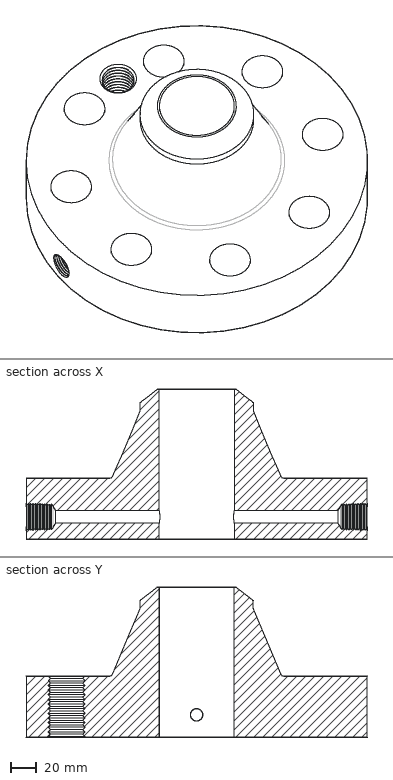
import cadquery as cq
import math

inch = 25.4

flange_diameter = 266.7
flange_thickness = 47.75

total_height = 117.35
hub_base_diameter = 133.35
neck_diameter = 88.9
neck_height = 6.4
bore_diameter = 58.4
weld_land = 1.6
bevel_angle = 37.5
hub_fillet_radius = 3.0

bolt_circle_diameter = 203.2
bolt_count = 8
bolt_hole_diameter = 31.75

jack_major_diameter = 28.58
jack_minor_diameter = 24.9
jack_pitch = inch / 7

tap_height = 17.5
tap_drill_diameter = 9.5
tap_major_diameter = 21.0
tap_minor_diameter = 18.3
tap_pitch = inch / 14
tap_turns = 11
tap_taper = 1 / 32
drill_point_half_angle = 59

flange_radius = flange_diameter / 2
bore_radius = bore_diameter / 2
neck_radius = neck_diameter / 2
land_radius = bore_radius + weld_land
bevel_start = total_height - (neck_radius - land_radius) * math.tan(math.radians(bevel_angle))
neck_start = bevel_start - neck_height


def make_body():
    """Revolve the flange plate, tapered hub and bevelled weld end around Z, then fillet the hub base."""
    body = (
        cq.Workplane("XZ")
        .moveTo(bore_radius, 0)
        .lineTo(flange_radius, 0)
        .lineTo(flange_radius, flange_thickness)
        .lineTo(hub_base_diameter / 2, flange_thickness)
        .lineTo(neck_radius, neck_start)
        .lineTo(neck_radius, bevel_start)
        .lineTo(land_radius, total_height)
        .lineTo(bore_radius, total_height)
        .close()
        .revolve(360, (0, 0, 0), (0, 1, 0))
    )
    hub_base_circle = cq.selectors.RadiusNthSelector(-2)
    return body.edges(hub_base_circle).fillet(hub_fillet_radius)


def cut_bolt_holes(body):
    """Drill the ring of plain bolt holes through the plate."""
    holes = (
        cq.Workplane("XY")
        .polarArray(bolt_circle_diameter / 2, 180 / bolt_count, 360, bolt_count)
        .circle(bolt_hole_diameter / 2)
        .extrude(flange_thickness)
    )
    return body.cut(holes)


def threaded_profile(major_diameter, minor_diameter, pitch, turns, taper=0):
    """Outline of a threaded hole from its mouth on Z = 0 down along its axis, left open at the bottom.

    Each turn of the thread is a closed ring: a sharp root with a sharp crest half a pitch below it.
    The radius shrinks by the given taper per unit of depth.
    """
    profile = cq.Workplane("XZ").lineTo(major_diameter / 2, 0)
    for turn in range(turns):
        crest_depth = (turn + 0.5) * pitch
        root_depth = (turn + 1) * pitch
        profile = profile.lineTo(minor_diameter / 2 - taper * crest_depth, -crest_depth)
        profile = profile.lineTo(major_diameter / 2 - taper * root_depth, -root_depth)
    return profile


def revolve_tool(profile, end_depth):
    """Close a hole outline at the given depth and revolve it about the Z axis into a cutting tool."""
    return profile.lineTo(0, -end_depth).close().revolve(360, (0, 0, 0), (0, 1, 0))


def cut_jack_hole(body):
    """Cut the jack screw hole, threaded through the whole plate."""
    turns = math.ceil(flange_thickness / jack_pitch)
    profile = threaded_profile(jack_major_diameter, jack_minor_diameter, jack_pitch, turns)
    tool = revolve_tool(profile, turns * jack_pitch)
    return body.cut(tool.translate((-bolt_circle_diameter / 2, 0, flange_thickness)))


def cut_pressure_taps(body):
    """Cut the tapered thread, conical drill point and small drilled hole of both taps, down to the bore."""
    drill_radius = tap_drill_diameter / 2
    last_crest_depth = (tap_turns + 0.5) * tap_pitch
    last_crest_radius = tap_minor_diameter / 2 - tap_taper * last_crest_depth
    point_length = (last_crest_radius - drill_radius) / math.tan(math.radians(drill_point_half_angle))
    profile = (
        threaded_profile(tap_major_diameter, tap_minor_diameter, tap_pitch, tap_turns, tap_taper)
        .lineTo(last_crest_radius, -last_crest_depth)
        .lineTo(drill_radius, -last_crest_depth - point_length)
        .lineTo(drill_radius, -flange_radius)
    )
    tool = revolve_tool(profile, flange_radius)
    front_tap = tool.rotate((0, 0, 0), (1, 0, 0), 90).translate((0, -flange_radius, tap_height))
    back_tap = front_tap.mirror("XZ")
    return body.cut(front_tap).cut(back_tap)


result = make_body()
result = cut_bolt_holes(result)
result = cut_jack_hole(result)
result = cut_pressure_taps(result)